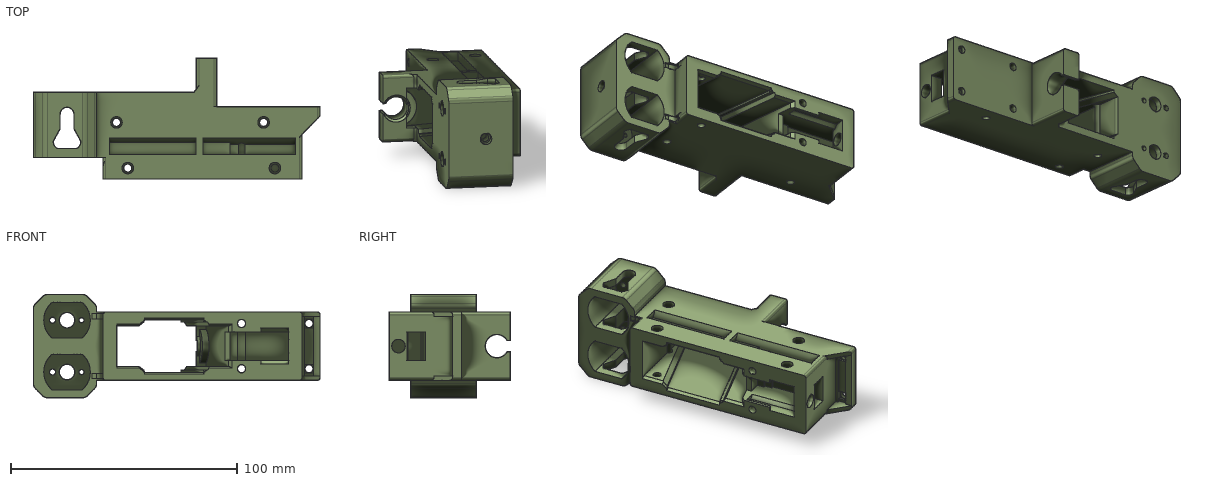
import cadquery as cq
import math

length = 126.75
depth = 53.5
block_height = 45.7

block_width = 28.0
block_front = 9.5
block_back = 38.5
block_chamfer = 5.0
block_blend = 3.0
motor_x = 14.9
motor_z = 11.45
motor_bore = 20.6
motor_flat_height = 15.7
motor_floor = 35.5
shaft_dia = 6.75
motor_screw_dias = (2.6, 2.2)
motor_screw_offset = 6.4
side_screw_y = 21.7

body_height = 30.2
body_left = 30.75
body_right = 118.8
body_back = 32.0
edge_radius = 1.25

post_left = 71.95
post_right = 81.1
post_gusset_x = 0.95
post_gusset_y = 1.2
barrel_y = 47.6
barrel_dia = 10.2
barrel_chamfer = 1.0
barrel_slit = 4.8

flange_front = 28.0
flange_slope_start = 19.8
flange_pocket_height = 26.2
flange_slot_x = 121.8
flange_slot_width = 3.8
flange_slot_depth = 1.0

screw_dia = 3.5
front_screw_x = 92.0
screw_z = 10.0
counterbore_dia = 5.1

cavity_left = 36.95
cavity_half = 8.9
mouth_bevel = 1.5
lean_slope = 0.24
wall_foot_x = 86.7
funnel_back = 42.9
notch_half = 9.0
wide_left = 46.9
wide_step = 2.2
wide_right = 75.5
wide_half = 11.6
wide_lean = math.tan(math.radians(15))
ramp_low = 10.6
ramp_start = 1.5
ramp_run = 1.2
opening_half = 9.7
opening_right = 87.8

bay_half = 6.3
bay_left = 87.0
bay_right = 112.8
bay_back = 16.0
bay_open_from = 7.8

half_body = body_height / 2
half_block = block_height / 2
gap = 0.5


def box(x0, x1, y0, y1, z0, z1):
    return cq.Workplane("XY").box(x1 - x0, y1 - y0, z1 - z0, centered=False).translate((x0, y0, z0))


def rod_x(dia, x0, x1, y, z):
    return cq.Workplane("YZ", origin=(x0, y, z)).circle(dia / 2).extrude(x1 - x0)


def rod_y(dia, x, y0, y1, z):
    return cq.Workplane("XZ", origin=(x, y0, z)).circle(dia / 2).extrude(y0 - y1)


def rod_z(dia, x, y, z0, z1):
    return cq.Workplane("XY", origin=(x, y, z0)).circle(dia / 2).extrude(z1 - z0)


def mirrored_outline(upper):
    """Close an outline by mirroring its upper points (in order) about Z = 0."""
    return upper + [(x, -z) for x, z in reversed(upper)]


def loft_y(upper_0, y0, upper_1, y1):
    """Ruled solid between two outlines symmetric about Z = 0, placed at y0 and y1."""
    return (
        cq.Workplane("XZ", origin=(0, y0, 0))
        .polyline(mirrored_outline(upper_0)).close()
        .workplane(offset=y0 - y1)
        .polyline(mirrored_outline(upper_1)).close()
        .loft(ruled=True)
    )


def motor_block():
    block = box(0, block_width, block_front, block_back, -half_block, half_block)
    block = block.edges("|Y").chamfer(block_chamfer)
    return block.edges("|Y").fillet(block_blend)


def main_body():
    body = (
        cq.Workplane("XY", origin=(0, 0, -half_body))
        .polyline([
            (body_left, 0),
            (body_right, 0),
            (body_right, flange_slope_start),
            (length, flange_front),
            (length, body_back),
            (post_right, body_back),
            (post_right, depth),
            (post_left, depth),
            (post_left, block_back + post_gusset_y),
            (post_left - post_gusset_x, block_back),
            (body_left, block_back),
        ]).close()
        .extrude(body_height)
    )
    corner_points = [
        (body_left, block_front / 2),
        (body_right, flange_slope_start / 2),
        (length, (flange_front + body_back) / 2),
        (post_right, (body_back + depth) / 2),
        (post_left, (block_back + post_gusset_y + depth) / 2),
    ]
    for x, y in corner_points:
        for z in (-half_body, half_body):
            body = body.edges(cq.NearestToPointSelector((x, y, z))).fillet(edge_radius)
    web = box(block_width - gap, body_left + edge_radius, block_front, block_back, -half_body, half_body)
    return body.union(web)


def motor_pocket(z):
    pocket = rod_y(motor_bore, motor_x, block_front - gap, motor_floor, z)
    limits = box(
        0, block_width, 0, block_back,
        z - motor_flat_height / 2, z + motor_flat_height / 2,
    )
    cut = pocket.intersect(limits).union(rod_y(shaft_dia, motor_x, motor_floor - gap, block_back + gap, z))
    for side, dia in zip((-1, 1), motor_screw_dias):
        x = motor_x + side * motor_screw_offset
        cut = cut.union(rod_y(dia, x, motor_floor - gap, block_back + gap, z))
    return cut


def keyhole():
    neck_half = 3.0
    flare_half = 6.0
    base_half = 4.3
    top_y = 31.7
    neck_end_y = 22.3
    flare_y = 16.8
    base_y = 13.6
    shoulder = (motor_x + flare_half, flare_y)
    bulge_half = 5.6
    bulge_y = 14.9
    base_end = (motor_x + base_half, base_y)
    return (
        cq.Workplane("XY", origin=(0, 0, -half_block - gap))
        .moveTo(motor_x - neck_half, neck_end_y)
        .lineTo(motor_x - neck_half, top_y - neck_half)
        .threePointArc((motor_x, top_y), (motor_x + neck_half, top_y - neck_half))
        .lineTo(motor_x + neck_half, neck_end_y)
        .lineTo(*shoulder)
        .threePointArc((motor_x + bulge_half, bulge_y), base_end)
        .lineTo(motor_x - base_half, base_y)
        .threePointArc((motor_x - bulge_half, bulge_y), (motor_x - flare_half, flare_y))
        .close()
        .extrude(block_height + 2 * gap)
    )


def side_screw():
    head_depth = 3.0
    hole = rod_x(screw_dia, -gap, motor_x - motor_screw_offset, side_screw_y, 0)
    head = rod_x(counterbore_dia, -gap, head_depth, side_screw_y, 0)
    return hole.union(head)


def cable_tie_channel(z0, z1):
    """Groove round the inner corner between block and body, fading out on both sides."""
    block_end_x = 25.85
    body_end_y = 4.6
    body_radius = 7.0
    web_radius = 5.5
    body_sweep = math.asin((block_front - body_end_y) / body_radius)
    web_sweep = math.asin((body_left - block_width) / web_radius)

    def body_arc(angle):
        return (
            body_left + body_radius * (1 - math.cos(angle)),
            body_end_y + body_radius * math.sin(angle),
        )

    def web_arc(angle):
        return (
            body_left - web_radius * math.sin(angle),
            block_front + web_radius * (1 - math.cos(angle)),
        )

    groove_floor = web_arc(web_sweep)[1]
    return (
        cq.Workplane("XY", origin=(0, 0, z0))
        .moveTo(block_end_x, body_end_y)
        .lineTo(*body_arc(0))
        .threePointArc(body_arc(body_sweep / 2), body_arc(body_sweep))
        .lineTo(*web_arc(0))
        .threePointArc(web_arc(web_sweep / 2), web_arc(web_sweep))
        .lineTo(block_end_x, groove_floor)
        .close()
        .extrude(z1 - z0)
    )


def leaning_cavity():
    """Narrow passage from the open front to the barrel, closed by the leaning wall."""
    wall_end_x = wall_foot_x - lean_slope * funnel_back
    passage = (
        cq.Workplane("XY", origin=(0, 0, -cavity_half))
        .polyline([
            (cavity_left, -gap),
            (wall_foot_x, -gap),
            (wall_foot_x, 0),
            (wall_end_x, funnel_back),
            (cavity_left, funnel_back),
        ]).close()
        .extrude(2 * cavity_half)
    )
    notch = box(
        post_left - post_gusset_x - gap, wall_end_x, block_back, funnel_back, -notch_half, notch_half
    )
    return passage.union(notch)


def wide_profile(shift):
    """Upper outline of the wide part of the cavity, moved by shift along X."""
    points = [
        (wide_left, cavity_half),
        (wide_left + wide_step, ramp_low),
        (wide_left + wide_step, wide_half),
        (wide_right, wide_half),
        (wide_right, ramp_low),
        (wide_right + ramp_start, ramp_low),
        (wide_right + ramp_start + ramp_run, cavity_half),
    ]
    return [(x + shift, z) for x, z in points]


def wide_cavity():
    """Wide part of the cavity, leaning towards -X on its way to the open back."""
    back = block_back + gap
    return loft_y(wide_profile(0), 0, wide_profile(-wide_lean * back), back)


def mouth():
    """Bevelled opening of the main cavity in the front face."""
    bevel_rise = opening_half - cavity_half
    ramp_x = wide_right - wide_lean * mouth_bevel + ramp_start
    front = [
        (cavity_left, opening_half),
        (wide_left, opening_half),
        (wide_left + wide_step, ramp_low + bevel_rise),
        (wide_left + wide_step, wide_half + bevel_rise),
        (wide_right, wide_half + bevel_rise),
        (wide_right, ramp_low + bevel_rise),
        (ramp_x - bevel_rise, ramp_low + bevel_rise),
        (ramp_x + ramp_run - bevel_rise, opening_half),
        (opening_right, opening_half),
    ]
    inner = [
        (cavity_left, cavity_half),
        (wide_left, cavity_half),
        (wide_left + wide_step, ramp_low),
        (wide_left + wide_step, wide_half),
        (wide_right - wide_lean * mouth_bevel, wide_half),
        (wide_right - wide_lean * mouth_bevel, ramp_low),
        (ramp_x, ramp_low),
        (ramp_x + ramp_run, cavity_half),
        (wall_foot_x - lean_slope * mouth_bevel, cavity_half),
    ]
    return loft_y(front, 0, inner, mouth_bevel)


def barrel_seat():
    """Open barrel clip in the post."""
    bore = rod_x(barrel_dia, post_left - gap, post_right + gap, barrel_y, 0)
    slit = box(post_left - gap, post_right + gap, barrel_y, depth + gap, -barrel_slit / 2, barrel_slit / 2)
    lead_in = cq.Workplane("XY").add(
        cq.Solid.makeCone(
            barrel_dia / 2 + barrel_chamfer, barrel_dia / 2, barrel_chamfer,
            cq.Vector(post_left, barrel_y, 0), cq.Vector(1, 0, 0),
        )
    )
    return bore.union(slit).union(lead_in)


def barrel_boss():
    """Thick round pad on the leaning wall with a collar round the barrel on top of it."""
    pad_radius = 7.9
    pad_y = 45.8
    pad_foot_x = 83.8
    collar_tip_x = 72.4
    collar_radius = 6.4
    pad_tip_x = pad_foot_x - lean_slope * funnel_back
    pad_front_x = pad_foot_x - lean_slope * block_front
    pad_limits = (
        cq.Workplane("XY", origin=(0, 0, -half_body))
        .polyline([
            (pad_tip_x, funnel_back),
            (pad_front_x, block_front),
            (post_right, block_front),
            (post_right, funnel_back),
        ]).close()
        .extrude(body_height)
    )
    pad = rod_x(2 * pad_radius, pad_tip_x, post_right, pad_y, 0).intersect(pad_limits)
    collar = rod_x(2 * collar_radius, collar_tip_x, pad_front_x, barrel_y, 0)
    collar_limits = box(post_left, post_right, 0, funnel_back, -half_body, half_body)
    return pad.union(collar.intersect(collar_limits))


def electronics_bay():
    """Bay beside the leaning wall, stepped at the back and open at the right end."""
    step = 1.0
    hole_radius = screw_dia / 2
    partition_y = 8.4
    front_left = wall_foot_x - lean_slope * partition_y
    back_steps = (
        (front_left, partition_y),
        (bay_left, bay_back - 2 * step),
        (front_screw_x - hole_radius, bay_back - step),
        (front_screw_x + hole_radius, bay_back),
    )
    bay = cq.Workplane("XY")
    for x, back in back_steps:
        bay = bay.union(box(x, bay_right, -gap, back, -bay_half, bay_half))
    cable_exit = box(bay_right - gap, body_right + gap, bay_open_from, bay_back, -bay_half, bay_half)
    return bay.union(cable_exit)


def bay_groove():
    """Deeper trough along the bay, with a sloped back and a lip at its left front."""
    groove_left = 88.7
    lip_right = 100.5
    lip_depth = 1.2
    flat_end = 4.6
    groove_half = 7.9
    slope_end = flat_end + groove_half - bay_half

    def trough(x0, x1, y0):
        upper = [
            (y0, groove_half),
            (flat_end, groove_half),
            (slope_end, bay_half),
        ]
        section = cq.Workplane("YZ", origin=(x0, 0, 0)).polyline(mirrored_outline(upper)).close()
        return section.extrude(x1 - x0)

    return trough(groove_left, lip_right, lip_depth).union(trough(lip_right, bay_right, -gap))


def end_wall_hole():
    hole_dia = 6.0
    hole_y = 4.1
    return rod_x(hole_dia, bay_right - gap, body_right + gap, hole_y, 0)


def top_slot(x0, x1, slot_depth):
    front_y = 10.8
    back_y = 18.2
    wall_run_per_depth = 0.68
    foot_y = back_y - wall_run_per_depth * slot_depth
    return (
        cq.Workplane("YZ", origin=(x0, 0, 0))
        .polyline([
            (front_y, half_body),
            (back_y, half_body),
            (foot_y, half_body - slot_depth),
            (front_y, half_body - slot_depth),
        ]).close()
        .extrude(x1 - x0)
    )


def top_slots():
    shallow = 2.9
    deep = 4.1
    left_slot = (33.6, 71.95)
    right_slot = (74.95, 115.8)
    deep_from = 86.9
    slots = top_slot(*left_slot, shallow).union(top_slot(*right_slot, shallow))
    return slots.union(top_slot(deep_from, right_slot[1], deep))


def case_screws():
    counterbore_depth = 4.5
    upper_row_y = 25.1
    lower_row_y = 4.9
    through_holes = ((36.75, upper_row_y), (101.75, upper_row_y), (41.75, lower_row_y))
    bay_screw_x = 106.75
    bay_screw_end = 8.5
    cuts = rod_z(screw_dia, bay_screw_x, lower_row_y, bay_screw_end, half_body + gap)
    for x, y in through_holes:
        cuts = cuts.union(rod_z(screw_dia, x, y, -half_body - gap, half_body + gap))
    for x, y in through_holes + ((bay_screw_x, lower_row_y),):
        cuts = cuts.union(rod_z(counterbore_dia, x, y, half_body - counterbore_depth, half_body + gap))
    return cuts


def front_screws():
    cuts = rod_y(screw_dia, front_screw_x, -gap, body_back + gap, screw_z)
    return cuts.union(rod_y(screw_dia, front_screw_x, -gap, body_back + gap, -screw_z))


def flange_cuts():
    """Flat recess between two gussets, a cross slot and two nut-seated holes in the end flange."""
    half = flange_pocket_height / 2
    slot_floor = flange_front + flange_slot_depth
    half_slot = flange_slot_width / 2
    cuts = box(body_right, length + gap, 0, flange_front, -half, half)
    cuts = cuts.union(box(flange_slot_x - half_slot, flange_slot_x + half_slot, 0, slot_floor, -half, half))
    for z in (-screw_z, screw_z):
        cuts = cuts.union(rod_y(screw_dia, flange_slot_x, slot_floor - gap, body_back + gap, z))
        cuts = cuts.union(box(
            flange_slot_x - half_slot, flange_slot_x + half_slot,
            flange_front, slot_floor + flange_slot_depth, z - half_slot, z + half_slot,
        ))
    return cuts


result = motor_block().union(main_body())

for side in (-1, 1):
    result = result.cut(motor_pocket(side * motor_z))
result = result.cut(keyhole()).cut(side_screw())
for z_low, z_high in ((-14.4, -12.0), (12.0, 14.4)):
    result = result.cut(cable_tie_channel(z_low, z_high))

result = result.cut(leaning_cavity()).cut(wide_cavity()).cut(mouth())
result = result.union(barrel_boss()).cut(barrel_seat())
result = result.cut(electronics_bay()).cut(bay_groove()).cut(end_wall_hole())
result = result.cut(top_slots()).cut(case_screws()).cut(front_screws()).cut(flange_cuts())